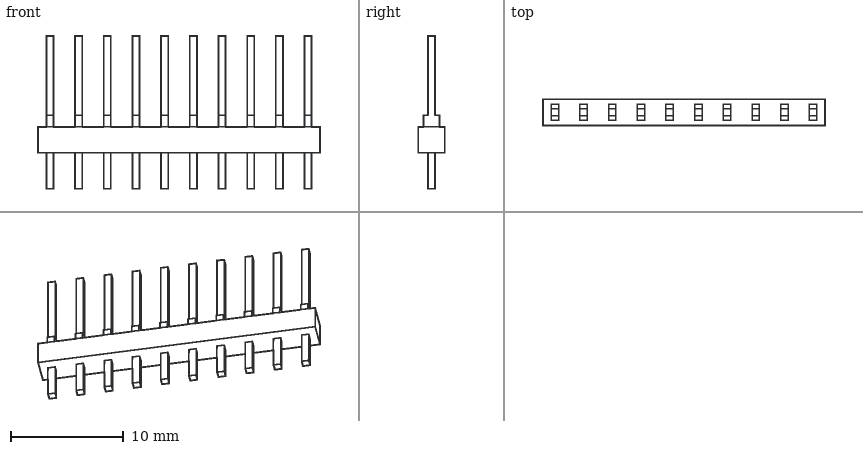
import cadquery as cq

body_length = 25.0
body_width = 2.35
body_height = 2.3

pin_count = 10
pin_row_span = 22.87
pin_pitch = pin_row_span / (pin_count - 1)
pin_thickness = 0.65
pin_length = 13.55
tail_length = 3.17
shoulder_width = 1.42
shoulder_height = 1.05

first_pin_x = -pin_row_span / 2


def block(size_x, size_y, size_z, x, bottom_z):
    """Box centred on (x, 0) in plan, with its bottom face at bottom_z."""
    return (
        cq.Workplane("XY")
        .box(size_x, size_y, size_z, centered=(True, True, False))
        .translate((x, 0, bottom_z))
    )


def pin(x):
    """One pin, running from its tail below the body to its tip above it."""
    post = block(pin_thickness, pin_thickness, pin_length, x, -tail_length)
    shoulder = block(pin_thickness, shoulder_width, shoulder_height, x, body_height)
    return post.union(shoulder)


result = block(body_length, body_width, body_height, 0, 0)
for index in range(pin_count):
    result = result.union(pin(first_pin_x + index * pin_pitch))